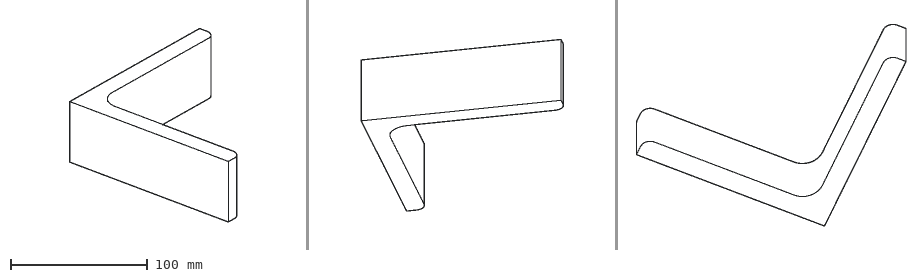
import cadquery as cq

leg_length = 150.0
leg_thickness = 15.0
section_length = 50.0
root_radius = 16.0
toe_radius = root_radius / 2


def angle_section():
    """L outline with its heel at the origin and square inner corners."""
    return (
        cq.Workplane("XY")
        .moveTo(0, 0)
        .lineTo(leg_length, 0)
        .lineTo(leg_length, leg_thickness)
        .lineTo(leg_thickness, leg_thickness)
        .lineTo(leg_thickness, leg_length)
        .lineTo(0, leg_length)
        .close()
    )


def round_edge_at(body, x, y, radius):
    """Fillet the vertical edge that passes through (x, y)."""
    edge_middle = (x, y, section_length / 2)
    return body.edges(cq.selectors.NearestToPointSelector(edge_middle)).fillet(radius)


angle = angle_section().extrude(section_length)

angle = round_edge_at(angle, leg_thickness, leg_thickness, root_radius)
angle = round_edge_at(angle, leg_length, leg_thickness, toe_radius)
angle = round_edge_at(angle, leg_thickness, leg_length, toe_radius)

result = angle